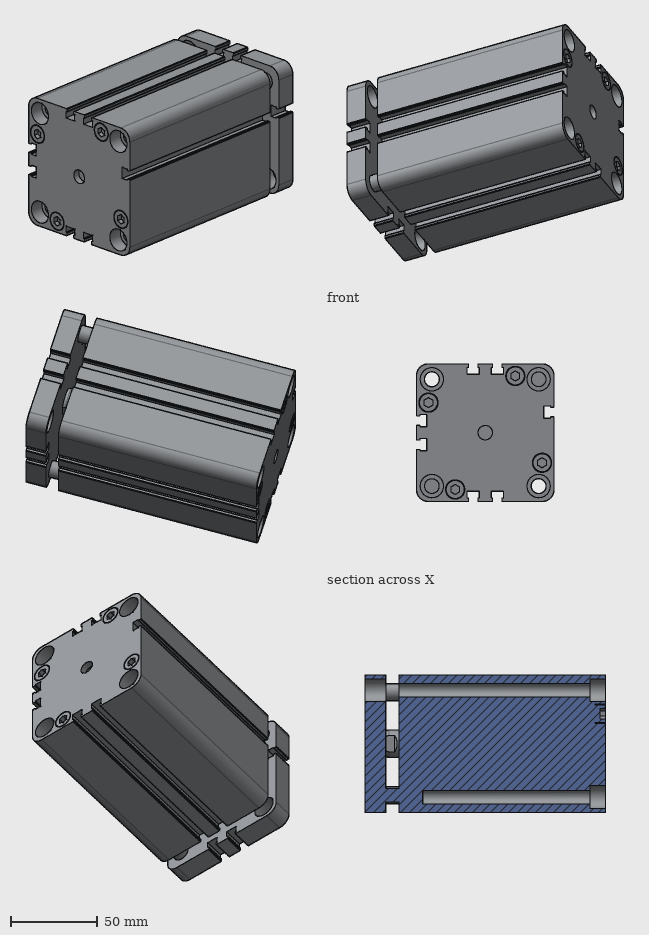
import cadquery as cq
import math

length = 139.5
width = 80.0
corner_radius = 7.0
half_width = width / 2
plate_thickness = 12.1
gap = 7.5
body_length = length - plate_thickness - gap
plate_start = body_length + gap

slot_offset = 7.0
single_slot_offset = 12.0
slot_depth = 6.0
slot_width = 7.0
mouth_width = 5.3
lip_thickness = 2.2
lip_chamfer = 0.4

mount_offset = 31.0
mount_diameter = 8.5
counterbore_diameter = 13.5
counterbore_depth = 8.9
pin_seat_length = 14.0
blind_mount_depth = body_length - pin_seat_length

screw_near = 17.5
screw_far = 32.9
screw_recess_diameter = 11.2
screw_head_diameter = 10.5
screw_head_height = 6.0
hex_across_flats = 5.0
hex_depth = 3.0
hex_angle = 30

center_diameter = 8.4
center_depth = 4.2

pin_offset = 29.9
pin_diameter = 10.0
rod_diameter = 16.0
rod_rounding_length = 1.8
rod_rounding_depth = 0.4
flat_spacing = 13.0
flat_length = 5.0
joint_overlap = 2.8


def plane_at(y):
    """Cross-section plane whose local axes are +X and +Z and whose normal is -Y."""
    return cq.Workplane("XZ", origin=(0, y, 0))


def cylinder(diameter, x, z, start, depth):
    """Cylinder along +Y."""
    return plane_at(start).center(x, z).circle(diameter / 2).extrude(-depth)


def section_block(start, depth):
    """Square block with rounded long corners."""
    return plane_at(start).rect(width, width).extrude(-depth).edges("|Y").fillet(corner_radius)


def t_slot(offset, side_angle):
    """Full-length T-slot in the top side, turned about Y onto another side."""
    half_mouth = mouth_width / 2
    lip_inner = half_width - lip_thickness
    half_profile = [
        (slot_width / 2, half_width - slot_depth),
        (slot_width / 2, lip_inner),
        (half_mouth + lip_chamfer, lip_inner),
        (half_mouth, lip_inner + lip_chamfer),
        (half_mouth, half_width - lip_chamfer),
        (half_mouth + lip_chamfer, half_width),
    ]
    other_half = [(-x, z) for x, z in reversed(half_profile)]
    profile = [(offset + x, z) for x, z in half_profile + other_half]
    slot = plane_at(0).polyline(profile).close().extrude(-length)
    return slot.rotate((0, 0, 0), (0, 1, 0), side_angle)


def cap_screw_cut(x, z):
    """Clearance ring around a screw head, plus its hexagon socket."""
    recess = cylinder(screw_recess_diameter, x, z, 0, screw_head_height)
    head = cylinder(screw_head_diameter, x, z, 0, screw_head_height)
    hex_diameter = hex_across_flats / math.cos(math.pi / 6)
    socket = (
        plane_at(0).transformed(offset=(x, z, 0), rotate=(0, 0, hex_angle))
        .polygon(6, hex_diameter).extrude(-hex_depth)
    )
    return recess.cut(head).union(socket)


def piston_rod():
    """Rod with wrench flats on its X sides and a rounded end at the plate."""
    radius = rod_diameter / 2
    rounding_start = plate_start - rod_rounding_length
    bottom = body_length - joint_overlap
    rod = (
        cq.Workplane("XY")
        .moveTo(0, bottom)
        .lineTo(radius, bottom)
        .lineTo(radius, rounding_start)
        .tangentArcPoint((radius - rod_rounding_depth, plate_start), relative=False)
        .lineTo(0, plate_start)
        .close()
        .revolve(360, (0, 0, 0), (0, 1, 0))
    )
    flat_x = flat_spacing / 2
    flat_start = plate_start - flat_length
    runout = radius - flat_x
    for side in (-1, 1):
        wedge = (
            cq.Workplane("XY")
            .moveTo(side * flat_x, plate_start)
            .lineTo(side * flat_x, flat_start)
            .lineTo(side * (flat_x + runout), flat_start - runout)
            .lineTo(side * (flat_x + runout), plate_start)
            .close()
            .extrude(radius, both=True)
        )
        rod = rod.cut(wedge)
    return rod


body = section_block(0, body_length)
plate = section_block(plate_start, plate_thickness)

for side_angle in (-90, 0, 180):
    for offset in (-slot_offset, slot_offset):
        slot = t_slot(offset, side_angle)
        body = body.cut(slot)
        plate = plate.cut(slot)
single_slot = t_slot(-single_slot_offset, 90)
body = body.cut(single_slot)
plate = plate.cut(single_slot)

for x_side in (-1, 1):
    for z_side in (-1, 1):
        x = x_side * mount_offset
        z = z_side * mount_offset
        on_pin_diagonal = x_side == z_side
        mount_depth = blind_mount_depth if on_pin_diagonal else body_length
        body = body.cut(cylinder(mount_diameter, x, z, 0, mount_depth))
        body = body.cut(cylinder(counterbore_diameter, x, z, 0, counterbore_depth))
        if not on_pin_diagonal:
            plate = plate.cut(cylinder(counterbore_diameter, x, z, plate_start, plate_thickness))

screw_x, screw_z = screw_near, screw_far
for quarter in range(4):
    body = body.cut(cap_screw_cut(screw_x, screw_z))
    screw_x, screw_z = screw_z, -screw_x

body = body.cut(cylinder(center_diameter, 0, 0, 0, center_depth))

result = body.union(plate).union(piston_rod())
pin_length = gap + joint_overlap
for side in (-1, 1):
    pin_center = side * pin_offset
    pin = cylinder(pin_diameter, pin_center, pin_center, plate_start - pin_length, pin_length)
    result = result.union(pin)